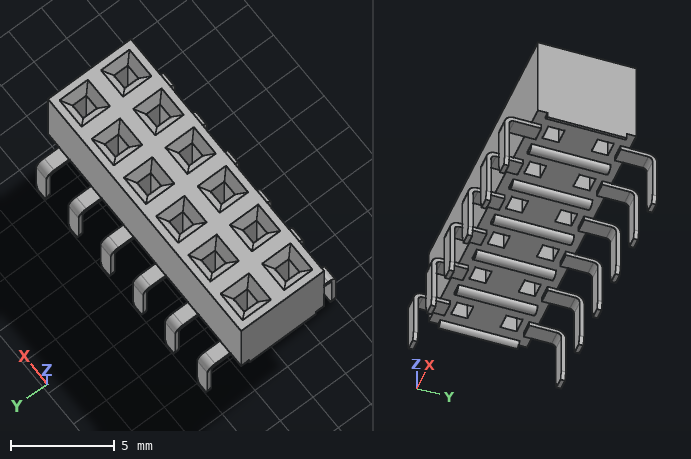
import cadquery as cq

columns = 6
length = 15.24
pitch = length / columns
width = 2 * pitch
total_height = 8.0
body_height = 4.71

mouth_size = 1.74
hole_size = 0.84
funnel_depth = 0.5

bar_radius = 0.3
bar_drop = 0.29
bar_length = 4.08

pin_width = 0.81
pin_thickness = 0.25
inner_bend_radius = 0.23
outer_bend_radius = inner_bend_radius + pin_thickness
tip_width = 0.58
tip_length = 0.5
pin_span = 7.86
pin_bottom = body_height - total_height
pin_outer_y = pin_span / 2
pin_root_y = bar_length / 2

column_x = [(i - (columns - 1) / 2) * pitch for i in range(columns)]
row_y = [-pitch / 2, pitch / 2]


def make_body():
    return cq.Workplane("XY").box(length, width, body_height, centered=(True, True, False))


def make_standoff_bars():
    """Bars midway between columns; the two end bars are cut flush with the body ends."""
    centers = [(i * pitch - length / 2, bar_radius - bar_drop) for i in range(columns + 1)]
    bars = (
        cq.Workplane("XZ")
        .pushPoints(centers)
        .circle(bar_radius)
        .extrude(bar_length / 2, both=True)
    )
    envelope = cq.Workplane("XY").box(length, width, 2 * body_height)
    return bars.intersect(envelope)


def make_openings():
    """Square through holes with pyramidal lead-ins at the top face."""
    centers = [(x, y) for x in column_x for y in row_y]
    holes = cq.Workplane("XY").pushPoints(centers).rect(hole_size, hole_size).extrude(body_height)
    funnel = (
        cq.Workplane("XY", origin=(0, 0, body_height - funnel_depth))
        .rect(hole_size, hole_size)
        .workplane(offset=funnel_depth)
        .rect(mouth_size, mouth_size)
        .loft(ruled=True)
    )
    for x, y in centers:
        holes = holes.union(funnel.translate((x, y, 0)))
    return holes


def make_pin():
    """One terminal at X = 0 on the +Y side, bent down and tapered at its tip."""
    strip = (
        cq.Workplane("YZ")
        .moveTo(pin_root_y, 0)
        .lineTo(pin_outer_y - outer_bend_radius, 0)
        .radiusArc((pin_outer_y, -outer_bend_radius), outer_bend_radius)
        .lineTo(pin_outer_y, pin_bottom)
        .lineTo(pin_outer_y - pin_thickness, pin_bottom)
        .lineTo(pin_outer_y - pin_thickness, -outer_bend_radius)
        .radiusArc((pin_outer_y - outer_bend_radius, -pin_thickness), -inner_bend_radius)
        .lineTo(pin_root_y, -pin_thickness)
        .close()
        .extrude(pin_width / 2, both=True)
    )
    face_outline = (
        cq.Workplane("XZ")
        .polyline([
            (-pin_width / 2, 0),
            (pin_width / 2, 0),
            (pin_width / 2, pin_bottom + tip_length),
            (tip_width / 2, pin_bottom),
            (-tip_width / 2, pin_bottom),
            (-pin_width / 2, pin_bottom + tip_length),
        ])
        .close()
        .extrude(-pin_span)
    )
    return strip.intersect(face_outline)


result = make_body().union(make_standoff_bars()).cut(make_openings())

back_pin = make_pin()
front_pin = back_pin.mirror("XZ")
for x in column_x:
    result = result.union(back_pin.translate((x, 0, 0)))
    result = result.union(front_pin.translate((x, 0, 0)))